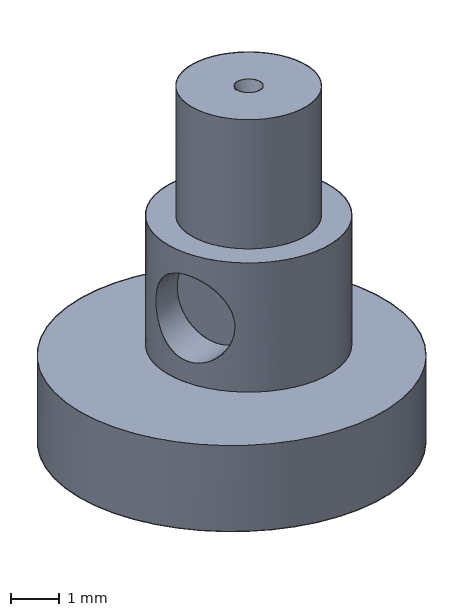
import cadquery as cq

base_diameter = 8
base_height = 2

post_offset_y = 0.6
collar_diameter = 4.25
collar_height = 3.0
pin_diameter = 3.0
pin_height = 3.0

side_hole_diameter = 2
side_hole_z = base_height + collar_height / 2
side_hole_depth = 1.0

taper_diameter = 0.6
taper_floor_diameter = 0.2
taper_depth = 0.5

side_hole_floor_y = post_offset_y - collar_diameter / 2 + side_hole_depth

collar_top = base_height + collar_height
total_height = collar_top + pin_height


def post_cylinder(diameter, height, bottom_z):
    """Upright cylinder on the post axis."""
    return (
        cq.Workplane("XY", origin=(0, post_offset_y, bottom_z))
        .circle(diameter / 2)
        .extrude(height)
    )


base = cq.Workplane("XY").circle(base_diameter / 2).extrude(base_height)
collar = post_cylinder(collar_diameter, collar_height, base_height)
pin = post_cylinder(pin_diameter, pin_height, collar_top)

side_hole = (
    cq.Workplane("XZ", origin=(0, side_hole_floor_y, side_hole_z))
    .circle(side_hole_diameter / 2)
    .extrude(side_hole_depth)
)

tapered_hole = (
    cq.Workplane("XY", origin=(0, post_offset_y, total_height))
    .circle(taper_diameter / 2)
    .workplane(offset=-taper_depth)
    .circle(taper_floor_diameter / 2)
    .loft()
)

result = base.union(collar).union(pin).cut(side_hole).cut(tapered_hole)